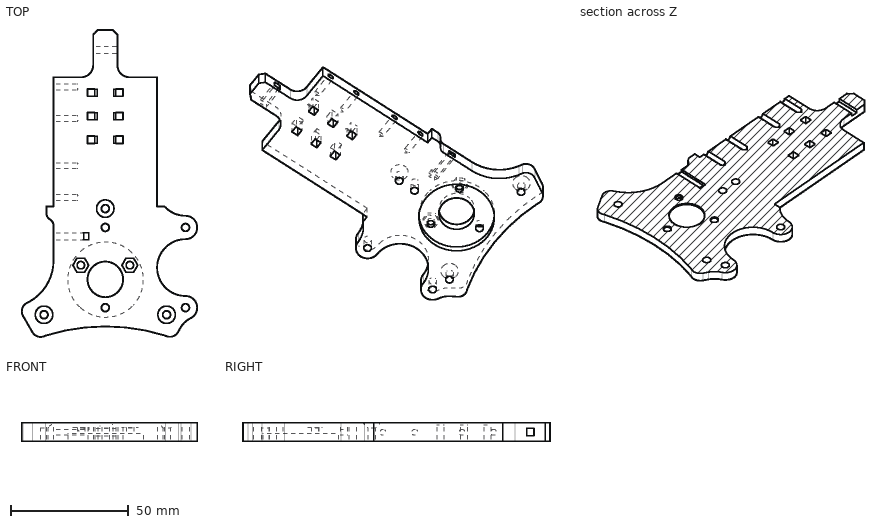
import cadquery as cq
import math

thickness = 8.0
top_z = thickness / 2
body_half_width = 22.0
body_top_y = 85.76
bore_diameter = 15.0
recess_diameter = 32.0
recess_depth = 3.5

tongue_half_width = 5.2
tongue_length = 20.0
tongue_end_y = body_top_y + tongue_length
tongue_chamfer = 2.0
tongue_root_radius = 5.0
tongue_hole_width = 3.0
tongue_hole_y = 97.4

shoulder_y = 31.0
shoulder_half_width = 25.0
shoulder_straight = 3.0
shoulder_radius = 3.0

motor_pitch = 34.0
motor_center_y = 5.0
motor_hole_diameter = 3.2
lug_radius = 5.0
lug_x = motor_pitch
upper_lug_y = motor_center_y + motor_pitch / 2
lower_lug_y = motor_center_y - motor_pitch / 2
lug_gap_radius = motor_pitch / 2 - lug_radius

screw_circle_radius = 30.0
screw_hole_diameter = 3.2
screw_head_diameter = 7.4
screw_head_depth = (screw_head_diameter - screw_hole_diameter) / 2
screw_angles = (90, 210, 330)
left_arm_length = 38.0
right_arm_length = 37.9
arm_half_width = 8.0
arm_corner_radius = 4.0
arm_angle = 30.0
arm_root_radius = 20.0
arm_root_y = 8.0
arm_to_lug_radius = 10.0
lower_edge_y = -20.0

nut_circle_radius = 12.0
nut_sides = 6
nut_corner_diameter = 6.7
nut_depth = 2.0
nut_floor = 0.2
nut_angles = (30, 150)

slot_inner_x = 3.5
slot_width = 4.0
slot_height = 3.0
slot_chamfer = 1.0
slot_ys = (59.2, 69.2, 79.2)

elbow_y = 18.2
elbow_width = 3.0
elbow_height = 2.2
elbow_inner_x = -7.0

pilot_diameter = 2.5
pilot_depth = 10.0
pilot_tip_length = pilot_diameter / 2
pilot_ys = (34.8, 48.3, 68.3, 81.7)


def polar(radius, degrees, center=(0.0, 0.0)):
    angle = math.radians(degrees)
    return (center[0] + radius * math.cos(angle), center[1] + radius * math.sin(angle))


def from_arm(along, across, side):
    """Point given along and across an arm; across is positive toward +Y, side is -1 or +1 in X."""
    angle = math.radians(arm_angle)
    x = along * math.cos(angle) + across * math.sin(angle)
    y = -along * math.sin(angle) + across * math.cos(angle)
    return (side * x, y)


def toward(start, end, distance):
    """Point at a distance from start on the way to end."""
    length = math.hypot(end[0] - start[0], end[1] - start[1])
    return (
        start[0] + (end[0] - start[0]) * distance / length,
        start[1] + (end[1] - start[1]) * distance / length,
    )


def arc(sketch, center, radius, end):
    """Add the shorter arc about center from the end of the last edge to end."""
    start = sketch.val().endPoint()
    middle = ((start.x + end[0]) / 2, (start.y + end[1]) / 2)
    return sketch.threePointArc(toward(center, middle, radius), end)


def arm_to_lug_blend():
    """Center, start and end of the concave arc tangent to the right arm's end and the lower lug."""
    lug = (lug_x, lower_lug_y)
    angle = math.radians(arm_angle)
    lug_along = lug_x * math.cos(angle) - lower_lug_y * math.sin(angle)
    center_along = right_arm_length + arm_to_lug_radius
    center_distance = lug_radius + arm_to_lug_radius
    turn = math.degrees(math.acos((center_along - lug_along) / center_distance))
    center = polar(center_distance, -arm_angle - turn, lug)
    start = polar(arm_to_lug_radius, 180 - arm_angle, center)
    end = polar(lug_radius, -arm_angle - turn, lug)
    return center, start, end


def outline():
    """Closed outline on the underside, counterclockwise from the lower corner of the left arm."""
    left_along = left_arm_length - arm_corner_radius
    right_along = right_arm_length - arm_corner_radius
    corner_across = arm_half_width - arm_corner_radius

    right_corner = from_arm(right_along, -corner_across, 1)
    left_corner = from_arm(left_along, -corner_across, -1)
    lower_right = from_arm(right_along, -arm_half_width, 1)
    lower_left = from_arm(left_along, -arm_half_width, -1)

    blend_center, blend_start, blend_end = arm_to_lug_blend()

    upper_gap_center_y = motor_center_y + motor_pitch
    upper_gap_x = lug_x - math.sqrt(lug_gap_radius**2 - (upper_gap_center_y - shoulder_y) ** 2)
    upper_gap_center = (lug_x, upper_gap_center_y)

    step = shoulder_half_width - body_half_width
    s_half_height = math.sqrt(shoulder_radius**2 - (shoulder_radius - step / 2) ** 2)
    s_top_y = shoulder_y - shoulder_straight
    s_middle = (-body_half_width - step / 2, s_top_y - s_half_height)
    s_upper_center = (shoulder_radius - shoulder_half_width, s_top_y)
    s_lower_center = (-body_half_width - shoulder_radius, s_top_y - 2 * s_half_height)

    root_center = (-body_half_width - arm_root_radius, arm_root_y)
    root_end = polar(arm_root_radius, arm_angle - 90, root_center)
    upper_left_corner = from_arm(left_along, corner_across, -1)

    tongue_root_x = tongue_half_width + tongue_root_radius
    tongue_root_y = body_top_y + tongue_root_radius
    right_root_center = (tongue_root_x, tongue_root_y)
    left_root_center = (-tongue_root_x, tongue_root_y)
    tip_half_width = tongue_half_width - tongue_chamfer
    tip_y = tongue_end_y - tongue_chamfer

    sketch = cq.Workplane("XY").workplane(offset=-top_z).moveTo(*lower_left)
    sketch = sketch.threePointArc((0, lower_edge_y), lower_right)
    sketch = arc(sketch, right_corner, arm_corner_radius, from_arm(right_arm_length, -corner_across, 1))
    sketch = sketch.lineTo(*blend_start)
    sketch = arc(sketch, blend_center, arm_to_lug_radius, blend_end)
    sketch = sketch.threePointArc((lug_x + lug_radius, lower_lug_y), (lug_x, lower_lug_y + lug_radius))
    sketch = sketch.threePointArc(
        (lug_x - lug_gap_radius, motor_center_y), (lug_x, upper_lug_y - lug_radius)
    )
    sketch = sketch.threePointArc((lug_x + lug_radius, upper_lug_y), (lug_x, upper_lug_y + lug_radius))
    sketch = arc(sketch, upper_gap_center, lug_gap_radius, (upper_gap_x, shoulder_y))
    sketch = sketch.lineTo(body_half_width, shoulder_y)
    sketch = sketch.lineTo(body_half_width, body_top_y)
    sketch = sketch.lineTo(tongue_root_x, body_top_y)
    sketch = arc(sketch, right_root_center, tongue_root_radius, (tongue_half_width, tongue_root_y))
    sketch = sketch.lineTo(tongue_half_width, tip_y)
    sketch = sketch.lineTo(tip_half_width, tongue_end_y)
    sketch = sketch.lineTo(-tip_half_width, tongue_end_y)
    sketch = sketch.lineTo(-tongue_half_width, tip_y)
    sketch = sketch.lineTo(-tongue_half_width, tongue_root_y)
    sketch = arc(sketch, left_root_center, tongue_root_radius, (-tongue_root_x, body_top_y))
    sketch = sketch.lineTo(-body_half_width, body_top_y)
    sketch = sketch.lineTo(-body_half_width, shoulder_y)
    sketch = sketch.lineTo(-shoulder_half_width, shoulder_y)
    sketch = sketch.lineTo(-shoulder_half_width, s_top_y)
    sketch = arc(sketch, s_upper_center, shoulder_radius, s_middle)
    sketch = arc(sketch, s_lower_center, shoulder_radius, (-body_half_width, s_lower_center[1]))
    sketch = sketch.lineTo(-body_half_width, arm_root_y)
    sketch = arc(sketch, root_center, arm_root_radius, root_end)
    sketch = sketch.lineTo(*from_arm(left_along, arm_half_width, -1))
    sketch = arc(sketch, upper_left_corner, arm_corner_radius, from_arm(left_arm_length, corner_across, -1))
    sketch = sketch.lineTo(*from_arm(left_arm_length, -corner_across, -1))
    sketch = arc(sketch, left_corner, arm_corner_radius, lower_left)
    return sketch.close()


def tongue_hole():
    """Square hole across the tongue, from side to side."""
    hole = cq.Workplane("XY").box(2 * tongue_half_width, tongue_hole_width, tongue_hole_width)
    return hole.translate((0, tongue_hole_y, 0))


def round_holes(points, diameter):
    sketch = cq.Workplane("XY").workplane(offset=-top_z).pushPoints(points)
    return sketch.circle(diameter / 2).extrude(thickness)


def bore_recess():
    """Wider recess around the bore, open at the underside."""
    return cq.Workplane("XY").workplane(offset=-top_z).circle(recess_diameter / 2).extrude(recess_depth)


def countersink(point):
    cone = cq.Solid.makeCone(
        screw_hole_diameter / 2,
        screw_head_diameter / 2,
        screw_head_depth,
        pnt=cq.Vector(*point, top_z - screw_head_depth),
    )
    return cq.Workplane(cone)


def nut_pockets():
    points = [polar(nut_circle_radius, angle) for angle in nut_angles]
    sketch = cq.Workplane("XY").workplane(offset=top_z).pushPoints(points)
    return sketch.polygon(nut_sides, nut_corner_diameter).extrude(-nut_depth)


def nut_screw_holes():
    """Screw holes from the recess up to the thin floor under each nut pocket."""
    points = [polar(nut_circle_radius, angle) for angle in nut_angles]
    sketch = cq.Workplane("XY").workplane(offset=-top_z).pushPoints(points)
    length = thickness - nut_depth - nut_floor
    return sketch.circle(motor_hole_diameter / 2).extrude(length)


def tie_slot(side, y):
    """Through slot with a sloped inner edge at the top face."""
    outer_x = slot_inner_x + slot_width
    corners = [
        (side * slot_inner_x, top_z),
        (side * outer_x, top_z),
        (side * outer_x, -top_z),
        (side * (slot_inner_x + slot_chamfer), -top_z),
        (side * (slot_inner_x + slot_chamfer), top_z - slot_chamfer),
    ]
    profile = cq.Workplane("XZ", origin=(0, y, 0)).polyline(corners).close()
    return profile.extrude(slot_height / 2, both=True)


def tie_elbow():
    """Channel in from the -X edge, turned up to the top face by a 45 degree slope."""
    half_height = elbow_height / 2
    elbow_outer_x = elbow_inner_x - elbow_height
    corners = [
        (-body_half_width, -half_height),
        (elbow_outer_x, -half_height),
        (elbow_inner_x, half_height),
        (elbow_inner_x, top_z),
        (elbow_outer_x, top_z),
        (elbow_outer_x, half_height),
        (-body_half_width, half_height),
    ]
    profile = cq.Workplane("XZ", origin=(0, elbow_y, 0)).polyline(corners).close()
    return profile.extrude(elbow_width / 2, both=True)


def pilot_hole(y):
    edge = cq.Vector(-body_half_width, y, 0)
    inward = cq.Vector(1, 0, 0)
    drill = cq.Solid.makeCylinder(pilot_diameter / 2, pilot_depth, edge, inward)
    tip = cq.Solid.makeCone(pilot_diameter / 2, 0, pilot_tip_length, edge + inward * pilot_depth, inward)
    return cq.Workplane(drill.fuse(tip))


motor_points = [(x, y) for x in (0, lug_x) for y in (lower_lug_y, upper_lug_y)]
screw_points = [polar(screw_circle_radius, angle) for angle in screw_angles]

result = outline().extrude(thickness)
result = result.cut(round_holes([(0, 0)], bore_diameter))
result = result.cut(bore_recess())
result = result.cut(round_holes(motor_points, motor_hole_diameter))
result = result.cut(round_holes(screw_points, screw_hole_diameter))
for screw_point in screw_points:
    result = result.cut(countersink(screw_point))
result = result.cut(nut_pockets())
result = result.cut(nut_screw_holes())
for slot_y in slot_ys:
    for slot_side in (-1, 1):
        result = result.cut(tie_slot(slot_side, slot_y))
result = result.cut(tie_elbow())
for pilot_y in pilot_ys:
    result = result.cut(pilot_hole(pilot_y))
result = result.cut(tongue_hole())